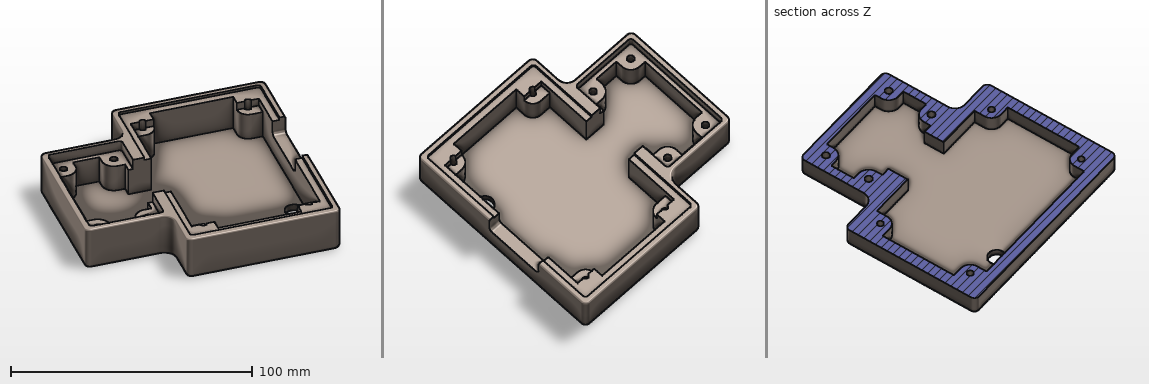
import cadquery as cq

main_width = 99.22
total_length = 105.1
height = 20.0
stem_width = 59.2
main_length = 67.4
main_front_y = total_length - main_length
corner_radius = 2.5
neck_radius = 5.0
bottom_fillet = 2.5
rim_fillet = 1.0

floor_z = 3.0
shelf_z = 15.3
lid_seat_depth = 1.2
lid_seat_z = height - lid_seat_depth

main_seat_width = 93.7
main_seat_length = 62.4
main_ledge = 3.1
main_center_y = 71.22
main_cavity_width = main_seat_width - 2 * main_ledge
main_cavity_length = main_seat_length - 2 * main_ledge
board_pocket_width = 78.2
main_hole_spacing_x = 77.9
main_hole_spacing_y = 46.2
main_hole_center_y = 71.4
main_hole_diameter = 2.75
main_boss_radius = 4.85

stem_seat_width = 54.4
stem_seat_length = 32.4
stem_ledge = 2.0
stem_center_y = 18.85
stem_cavity_width = stem_seat_width - 2 * stem_ledge
stem_cavity_length = stem_seat_length - 2 * stem_ledge
stem_hole_spacing_x = 44.0
stem_hole_spacing_y = 22.0
stem_hole_diameter = 3.2
stem_boss_radius = 5.25

seat_corner_radius = 1.4

passage_width = 25.1

floor_hole_diameter = 8.0
floor_hole_x = 20.4

notch_width = 29.0
notch_center_x = -7.3
notch_fillet = 2.0
notch_z = 12.0


def block(width, length, center_x, center_y, bottom_z, top_z):
    """Upright box given by its plan center and its bottom and top heights."""
    return (
        cq.Workplane("XY", origin=(center_x, center_y, bottom_z))
        .rect(width, length)
        .extrude(top_z - bottom_z)
    )


def outer_body():
    """T-shaped block with rounded corners, necks, underside and rim."""
    main = block(main_width, main_length, 0, total_length - main_length / 2, 0, height)
    stem_length = main_front_y + main_length / 2
    stem = block(stem_width, stem_length, 0, stem_length / 2, 0, height)
    body = main.union(stem)
    neck_reach = stem_width / 2 + neck_radius
    neck_box = cq.selectors.BoxSelector(
        (-neck_reach, main_front_y - neck_radius, 0),
        (neck_reach, main_front_y + neck_radius, height),
    )
    upright = cq.StringSyntaxSelector("|Z")
    body = body.edges(upright - neck_box).fillet(corner_radius)
    body = body.edges(upright & neck_box).fillet(neck_radius)
    body = body.faces("<Z").edges().fillet(bottom_fillet)
    return body.faces(">Z").edges().fillet(rim_fillet)


def hole_centers(spacing_x, spacing_y, center_y):
    """Four corners of a rectangular hole pattern centered on X = 0."""
    return [
        (side_x * spacing_x / 2, center_y + side_y * spacing_y / 2)
        for side_x in (-1, 1)
        for side_y in (-1, 1)
    ]


def corner_boss(hole_x, hole_y, cavity_width, cavity_length, center_y, radius, top_z):
    """Screw boss filling a cavity corner, rounded about its hole on the inner side."""
    side_x = 1 if hole_x > 0 else -1
    side_y = 1 if hole_y > center_y else -1
    inner_x = hole_x - side_x * radius
    inner_y = hole_y - side_y * radius
    wall_x = side_x * cavity_width / 2
    wall_y = center_y + side_y * cavity_length / 2
    corner = (
        cq.Workplane("XY", origin=(0, 0, floor_z))
        .moveTo(wall_x, wall_y)
        .lineTo(inner_x, wall_y)
        .lineTo(inner_x, hole_y)
        .radiusArc((hole_x, inner_y), -radius * side_x * side_y)
        .lineTo(wall_x, inner_y)
        .close()
    )
    return corner.extrude(top_z - floor_z)


def compartment(cavity_width, cavity_length, center_y, centers, boss_radius, top_z):
    """Cavity space of a compartment, with its four corner bosses left standing."""
    space = block(cavity_width, cavity_length, 0, center_y, floor_z, top_z)
    for x, y in centers:
        space = space.cut(
            corner_boss(x, y, cavity_width, cavity_length, center_y, boss_radius, top_z)
        )
    return space


def seat(width, length, center_y, bottom_z):
    """Round-cornered recess open at the rim."""
    return block(width, length, 0, center_y, bottom_z, height).edges("|Z").fillet(seat_corner_radius)


def through_holes(centers, diameter):
    """Upright cylinders, one per center, as tall as the part."""
    return cq.Workplane("XY").pushPoints(centers).circle(diameter / 2).extrude(height)


def back_notch():
    """Opening in the back wall, down from the rim, with rounded lower corners."""
    inner_y = main_center_y + main_cavity_length / 2
    length = total_length - inner_y
    notch = block(notch_width, length, notch_center_x, inner_y + length / 2, notch_z, height)
    return notch.edges("|Y and <Z").fillet(notch_fillet)


main_holes = hole_centers(main_hole_spacing_x, main_hole_spacing_y, main_hole_center_y)
stem_holes = hole_centers(stem_hole_spacing_x, stem_hole_spacing_y, stem_center_y)
floor_hole_y = main_hole_center_y + main_hole_spacing_y / 2

result = outer_body()

result = result.cut(seat(main_seat_width, main_seat_length, main_center_y, lid_seat_z))
result = result.cut(
    block(board_pocket_width, main_cavity_length, 0, main_center_y, shelf_z, height)
)
main_space = compartment(
    main_cavity_width, main_cavity_length, main_center_y, main_holes, main_boss_radius, lid_seat_z
)
result = result.cut(main_space)
result = result.cut(through_holes(main_holes, main_hole_diameter))
result = result.cut(through_holes([(floor_hole_x, floor_hole_y)], floor_hole_diameter))

result = result.cut(seat(stem_seat_width, stem_seat_length, stem_center_y, shelf_z))
stem_space = compartment(
    stem_cavity_width, stem_cavity_length, stem_center_y, stem_holes, stem_boss_radius, shelf_z
)
result = result.cut(stem_space)
result = result.cut(through_holes(stem_holes, stem_hole_diameter))

passage_length = main_center_y - stem_center_y
result = result.cut(
    block(passage_width, passage_length, 0, stem_center_y + passage_length / 2, floor_z, height)
)

result = result.cut(back_notch())